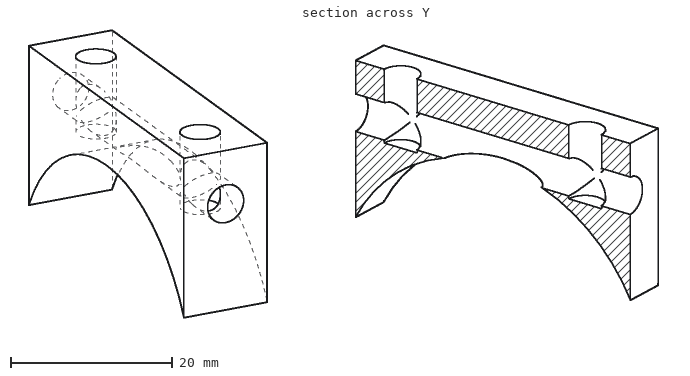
import cadquery as cq

length = 42.6
width = 11.6
height = 21.3
arch_rise = 12.85

hole_diameter = 5.03
cross_hole_drop = 7.1
pin_spacing = 28.63
pin_depth = 10.0

half_length = length / 2
cross_hole_height = height - cross_hole_drop


def saddle_block():
    """Block centred on X and Y, with its bottom corners at Z = 0."""
    return (
        cq.Workplane("XZ")
        .moveTo(-half_length, 0)
        .threePointArc((0, arch_rise), (half_length, 0))
        .lineTo(half_length, height)
        .lineTo(-half_length, height)
        .close()
        .extrude(width / 2, both=True)
    )


def cross_hole():
    """Lengthwise hole through both ends, breaking into the saddle."""
    return (
        cq.Workplane("YZ", origin=(-half_length, 0, cross_hole_height))
        .circle(hole_diameter / 2)
        .extrude(length)
    )


def pin_holes():
    """Pair of blind holes sunk from the top face, with flat floors just below the lengthwise hole."""
    return (
        cq.Workplane("XY", origin=(0, 0, height))
        .pushPoints([(-pin_spacing / 2, 0), (pin_spacing / 2, 0)])
        .circle(hole_diameter / 2)
        .extrude(-pin_depth)
    )


result = saddle_block().cut(cross_hole()).cut(pin_holes())